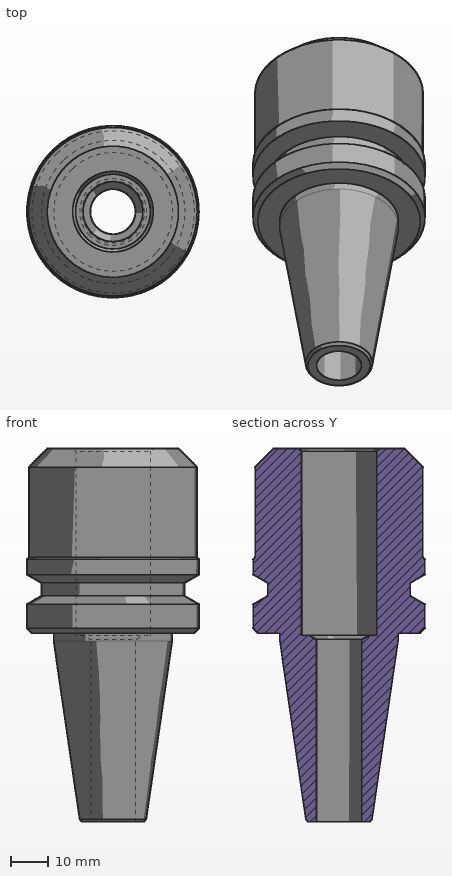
import cadquery as cq
import math

overall_length = 99.7
gauge_height = 48.4
flange_bottom = 50.3
groove_bottom = 58.1
groove_top = 66.0
flange_top = 70.6

flange_radius = 46.0 / 2
head_radius = 45.0 / 2
shank_radius = 15.9
groove_radius = 38.3 / 2
taper_ratio = 7 / 24

head_chamfer = 5.0
flange_bottom_chamfer = 1.3
flange_top_chamfer = flange_radius - head_radius
tip_chamfer_height = 0.8
tip_chamfer_width = 0.6
groove_flank_angle = 30
groove_flank_height = (flange_radius - groove_radius) * math.tan(math.radians(groove_flank_angle))

bore_radius = 10.0
bore_depth = 49.85
mouth_radius = 10.8
step_radius = 8.0
through_radius = 6.0
step_cone_angle = 120


def taper_radius(height):
    """Radius of the taper shank at a given height."""
    return shank_radius - (gauge_height - height) * taper_ratio / 2


def make_body():
    """Revolved outside of the holder: taper shank, grooved flange and head."""
    tip_radius = taper_radius(tip_chamfer_height)
    profile = [
        (0, 0),
        (tip_radius - tip_chamfer_width, 0),
        (tip_radius, tip_chamfer_height),
        (shank_radius, gauge_height),
        (shank_radius, flange_bottom),
        (flange_radius - flange_bottom_chamfer, flange_bottom),
        (flange_radius, flange_bottom + flange_bottom_chamfer),
        (flange_radius, groove_bottom),
        (groove_radius, groove_bottom + groove_flank_height),
        (groove_radius, groove_top - groove_flank_height),
        (flange_radius, groove_top),
        (flange_radius, flange_top - flange_top_chamfer),
        (head_radius, flange_top),
        (head_radius, overall_length - head_chamfer),
        (head_radius - head_chamfer, overall_length),
        (0, overall_length),
    ]
    return revolve_about_z(profile)


def make_bore():
    """Revolved inside: chamfered bore, conical step and through hole."""
    bore_floor = overall_length - bore_depth
    mouth_chamfer = mouth_radius - bore_radius
    cone_height = (step_radius - through_radius) / math.tan(math.radians(step_cone_angle / 2))
    profile = [
        (0, 0),
        (through_radius, 0),
        (through_radius, bore_floor - cone_height),
        (step_radius, bore_floor),
        (bore_radius, bore_floor),
        (bore_radius, overall_length - mouth_chamfer),
        (mouth_radius, overall_length),
        (0, overall_length),
    ]
    return revolve_about_z(profile)


def revolve_about_z(profile):
    """Full turn about Z of an outline given as (radius, height) points."""
    return cq.Workplane("XZ").polyline(profile).close().revolve(360, (0, 0, 0), (0, 1, 0))


result = make_body().cut(make_bore())